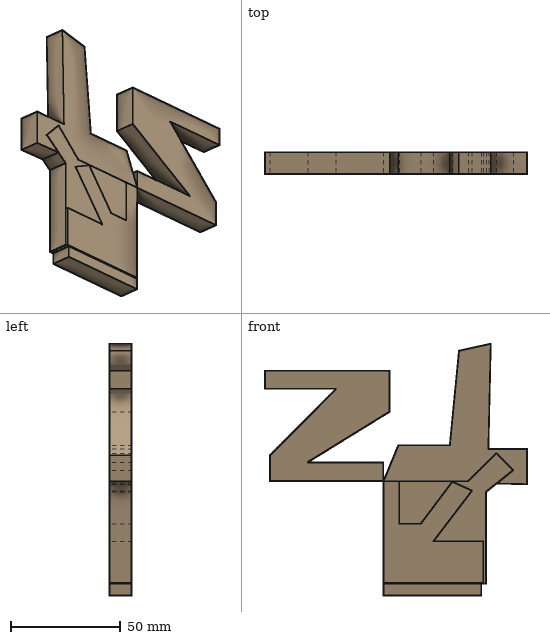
import cadquery as cq

thickness = 10.0

z_left = -54.1
z_right = 2.9
z_top = 50.5
z_top_bar_bottom = 42.1
z_upper_notch_x = -21.7
z_shoulder_height = 31.7
z_foot_left = -51.8
z_foot_height = 11.8
z_bottom_bar_top = 8.6
z_lower_notch_x = -34.6

bar_right = z_left + 119.7
bar_left_top = 16.5
bar_right_top = 14.7
bar_slant_x = 6.8
bar_end_drop = 1.4
mast_left_foot_x = 30.3
mast_left_top = (34.5, 59.6)
mast_right_top = (49.1, 62.8)
mast_right_foot_x = 48.0

square_side = 46.9
arm_start_x = 38.7
arm_upper_tip = (51.6, 12.8)
arm_lower_tip = (59.2, 5.0)
arm_root_depth = 4.9

insert_right = 45.5
insert_bottom = -46.4
insert_post_width = 7.3
insert_notch_bottom = -19.5
insert_notch_corner_x = 17.0
insert_tip_gap = 0.2
insert_tip = (31.5, -insert_tip_gap)
insert_tip_corner = (40.5, -4.3)
insert_ledge_top = -27.4
insert_ledge_start_x = 22.9

foot_width = 44.8
foot_bottom = -52.3


def plate(outline):
    """Closed XZ outline made into a plate centred on Y = 0."""
    return cq.Workplane("XZ").polyline(outline).close().extrude(thickness / 2, both=True)


def make_z_plate():
    return plate([
        (0, 0),
        (0, z_bottom_bar_top),
        (z_lower_notch_x, z_bottom_bar_top),
        (z_right, z_shoulder_height),
        (z_right, z_top),
        (z_left, z_top),
        (z_left, z_top_bar_bottom),
        (z_upper_notch_x, z_top_bar_bottom),
        (z_foot_left, z_foot_height),
        (z_foot_left, 0),
    ])


def make_full_square_plate():
    """Square plate and arm, before the recess for the insert."""
    return plate([
        (0, 0),
        (arm_start_x, 0),
        arm_upper_tip,
        arm_lower_tip,
        (square_side, -arm_root_depth),
        (square_side, -square_side),
        (0, -square_side),
    ])


def make_insert():
    return plate([
        (0, 0),
        (insert_post_width, 0),
        (insert_post_width, insert_notch_bottom),
        (insert_notch_corner_x, insert_notch_bottom),
        insert_tip,
        insert_tip_corner,
        (insert_ledge_start_x, insert_ledge_top),
        (insert_right, insert_ledge_top),
        (insert_right, insert_bottom),
        (0, insert_bottom),
    ])


def make_full_crossed_plate():
    """Mast and bar, before the recess for the square plate's top edge and arm."""
    return plate([
        (0, 0),
        (bar_slant_x, bar_left_top),
        (mast_left_foot_x, bar_left_top),
        mast_left_top,
        mast_right_top,
        (mast_right_foot_x, bar_right_top),
        (bar_right, bar_right_top),
        (bar_right, -bar_end_drop),
    ])


def make_foot():
    return plate([
        (0, -square_side),
        (foot_width, -square_side),
        (foot_width, foot_bottom),
        (0, foot_bottom),
    ])


z_plate = make_z_plate()
insert = make_insert()
foot = make_foot()

full_square_plate = make_full_square_plate()
square_plate = full_square_plate.cut(insert)
crossed_plate = make_full_crossed_plate().cut(full_square_plate)

result = cq.Compound.makeCompound([
    z_plate.val(),
    crossed_plate.val(),
    square_plate.val(),
    insert.val(),
    foot.val(),
])